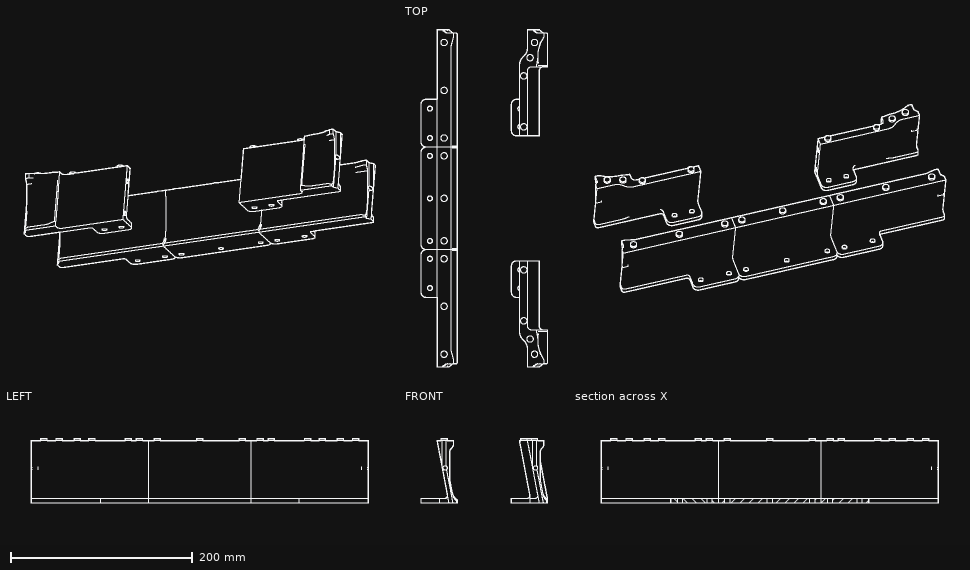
import cadquery as cq
import math

LENGTH = 372.5
ROW_SPACING = 100.0
BASE_WIDTH = 40.2
BASE_THICKNESS = 5.2
WALL_TOP = 69.0
PIN_HEIGHT = 2.2
PIN_DIAMETER = 7.0
SCREW_HOLE_DIAMETER = 5.2
DOWEL_HOLE_DIAMETER = 5.0
DOWEL_HOLE_DEPTH = 7.5

HALF_LENGTH = LENGTH / 2
JOINT_Y = 56.5
RAIL_INNER_Y = 69.0
TAB_OUTER_Y = 109.5

LEAN = 0.19
FRONT_TOP_X = 18.0
ROOT_FILLET = 3.0
STRIP_EDGE_X = 21.0
TAB_RADIUS = 6.0
STRIP_RADIUS = 3.0

LIP_X = 36.0
LIP_X_MID = 33.5
LIP_BOTTOM_Z = 63.5
NECK_X = 32.0
NECK_TOP_Z = 57.7
BACK_TOP_X = 24.0
HOLLOW_SHARE = 0.6
TOE_HEIGHT = 3.5
TOE_END_DROP = 2.0
TOE_CORNER = 1.0
TOE_RAMP_OUTER = 4.5
TOE_RAMP_JOINT = 1.0
LIP_FLARE_LENGTH = 9.5

BEVEL_WIDTH = 4.5
BEVEL_DEPTH = 3.55
BEVEL_START_X = 23.5
END_FACE_Y = HALF_LENGTH - BEVEL_DEPTH

JOG = 9.0
JOG_OUTER_Y = 166.5
JOG_INNER_Y = 146.8
SLAB_THICKNESS = 9.0
STEP_Y = 145.3
STEP_FILLET = 4.5
RIB_THICKNESS = 4.5
RIB_TOP_X = 28.0
RIB_TOE_HEIGHT = 5.5
RIB_CHAMFER = 1.5
RIB_END_SHARE = 0.8
RIB_FOOT_SHARE = 0.7
RIB_FILLET = 8.0
RAIL_LIP_X = 29.5
BLEND_STEPS = 3

PIN_X = 25.7
SCREW_X = 10.0
CENTRE_PIN_Y = [-47.0, 0.0, 47.0]
END_PIN_Y = [66.5, 119.2, 172.0]
END_SCREW_Y = [66.5, 99.0]
RAIL_PIN_PLACES = [(25.7, 172.0), (21.0, 155.5), (13.8, 135.2), (13.8, 79.0)]
RAIL_SCREW_Y = [79.0, 99.0]
RAIL_DOWEL_Z = [9.5, 50.5]
END_DOWEL_X = 27.0
END_DOWEL_Z = 38.7

CORE_INSET = 2.0
CORE_OVERLAP = 0.7
EDGE_REACH = 0.2
SKIRT = 3.7


def leaning_prism(outline, z_low, z_high, z_true=WALL_TOP):
    """Prism of a plan outline that leans with the walls; the outline is true at height z_true."""
    low = outline.val().moved(cq.Location(cq.Vector(LEAN * (z_true - z_low), 0, z_low)))
    high = outline.val().moved(cq.Location(cq.Vector(LEAN * (z_true - z_high), 0, z_high)))
    return cq.Workplane(obj=cq.Solid.makeLoft([low, high], True))


def front_x(z, top_x=FRONT_TOP_X):
    return top_x + LEAN * (WALL_TOP - z)


def wall_section(y, lip_x=LIP_X, toe_drop=0.0, front_top_x=FRONT_TOP_X, rib_share=0.0):
    """Closed cross-section in the plane Y = y; a rib_share of 1 turns the back into the rib's."""
    def place(x, z):
        return cq.Vector(x, y, z)

    def back(x, z):
        return place(x + rib_share * (front_x(z, RIB_TOP_X) - x), z)

    neck_x = min(NECK_X, lip_x)
    neck_bottom_z = WALL_TOP - (neck_x - BACK_TOP_X) / LEAN
    toe_z = TOE_HEIGHT - toe_drop + rib_share * (RIB_TOE_HEIGHT - TOE_HEIGHT)
    toe_edge = place(BASE_WIDTH, toe_z)

    plane_top_x = BACK_TOP_X + rib_share * (RIB_TOP_X - BACK_TOP_X)
    heel_z = (BASE_WIDTH + toe_z - front_x(0, plane_top_x)) / (1 - LEAN)
    heel = place(front_x(heel_z, plane_top_x), heel_z)
    down_toe = (toe_edge - heel).normalized()
    up_wall = cq.Vector(-LEAN, 0, 1).normalized()
    reach = (toe_edge - heel).Length * HOLLOW_SHARE
    half_angle = down_toe.getAngle(up_wall) / 2
    sag = reach / math.cos(half_angle) * (1 - math.sin(half_angle))
    hollow_start = heel + up_wall * reach
    hollow_end = heel + down_toe * reach
    hollow_middle = heel + (down_toe + up_wall).normalized() * sag

    base_front = place(front_x(0, front_top_x), 0)
    back_points = [
        base_front, place(front_x(WALL_TOP, front_top_x), WALL_TOP),
        back(lip_x, WALL_TOP), back(lip_x, LIP_BOTTOM_Z),
        back(neck_x, NECK_TOP_Z), back(neck_x, neck_bottom_z), hollow_start]
    toe_points = [hollow_end, toe_edge, place(BASE_WIDTH, 0), base_front]
    edges = [cq.Edge.makeLine(*pair) for pair in zip(back_points, back_points[1:])]
    edges.append(cq.Edge.makeThreePointArc(hollow_start, hollow_middle, hollow_end))
    edges += [cq.Edge.makeLine(*pair) for pair in zip(toe_points, toe_points[1:])]
    return cq.Wire.assembleEdges(edges)


def loft_chain(sections, ruled=True):
    """One solid through the sections, straight between each pair or smooth through all."""
    return cq.Workplane(obj=cq.Solid.makeLoft(sections, ruled))


def base_waste(y_low, y_high, tab_low, tab_high):
    """Plan areas in front of the base strip and outside the tab."""
    areas = []
    diagonal = math.sqrt(0.5)
    for tab_y, end_y, side in ((tab_low, y_low, -1), (tab_high, y_high, 1)):
        far_y = end_y + side * SKIRT
        tab_corner = (TAB_RADIUS * (1 - diagonal), tab_y - side * TAB_RADIUS * (1 - diagonal))
        area = (
            cq.Workplane().moveTo(-SKIRT, tab_y - side * TAB_RADIUS).lineTo(0, tab_y - side * TAB_RADIUS)
            .threePointArc(tab_corner, (TAB_RADIUS, tab_y))
        )
        if abs(end_y - tab_y) > TAB_RADIUS:
            inner_x = STRIP_EDGE_X - STRIP_RADIUS
            bend = STRIP_RADIUS * diagonal
            area = (
                area.lineTo(inner_x, tab_y)
                .threePointArc(
                    (inner_x + bend, tab_y + side * (STRIP_RADIUS - bend)),
                    (STRIP_EDGE_X, tab_y + side * STRIP_RADIUS),
                )
                .lineTo(STRIP_EDGE_X, end_y - side * STRIP_RADIUS)
                .threePointArc(
                    (STRIP_EDGE_X + STRIP_RADIUS - bend, end_y - side * (STRIP_RADIUS - bend)),
                    (STRIP_EDGE_X + STRIP_RADIUS, end_y),
                )
                .lineTo(STRIP_EDGE_X + STRIP_RADIUS, far_y)
            )
        else:
            area = area.lineTo(TAB_RADIUS, far_y)
        areas.append(area.lineTo(-SKIRT, far_y).close())
    return areas


def add_base(wall, y_low, y_high, tab_low, tab_high, screw_places, plate_depth=front_x(0)):
    """Join a wall to its base plate, fillet the root and trim the plate to strip and tab."""
    plate = cq.Workplane().box(
        plate_depth, y_high - y_low, BASE_THICKNESS, centered=False).translate((0, y_low, 0))
    body = wall.union(plate)
    root = cq.selectors.BoxSelector(
        (SKIRT, y_low - SKIRT, BASE_THICKNESS - EDGE_REACH),
        (front_x(BASE_THICKNESS) + EDGE_REACH, y_high + SKIRT, BASE_THICKNESS + EDGE_REACH))
    body = body.edges("#Z").edges(root).edges("not(<Y or >Y)").fillet(ROOT_FILLET)
    fillet_top = BASE_THICKNESS + 2 * ROOT_FILLET
    for area in base_waste(y_low, y_high, tab_low, tab_high):
        body = body.cut(area.extrude(BASE_THICKNESS))
        body = body.cut(leaning_prism(area, BASE_THICKNESS, fillet_top, BASE_THICKNESS))
    holes = (
        cq.Workplane().pushPoints(screw_places).circle(SCREW_HOLE_DIAMETER / 2).extrude(BASE_THICKNESS))
    return body.cut(holes)


def end_step():
    """Cutter for the bevelled step at the +Y outer end."""
    def plan(bevel_x):
        far_x = BASE_WIDTH + 2 * SKIRT
        far_y = HALF_LENGTH + SKIRT
        return cq.Workplane().polyline([
            (bevel_x, HALF_LENGTH), (bevel_x + BEVEL_WIDTH, END_FACE_Y), (far_x, END_FACE_Y),
            (far_x, far_y), (bevel_x, far_y)]).close()

    kink_z = WALL_TOP - (BEVEL_START_X - FRONT_TOP_X) / LEAN
    upper = plan(BEVEL_START_X).extrude(WALL_TOP - kink_z + SKIRT).translate((0, 0, kink_z))
    lower = leaning_prism(plan(FRONT_TOP_X), 0, kink_z)
    toe_corner = cq.Workplane().polyline([
        (BASE_WIDTH - TOE_CORNER, END_FACE_Y), (BASE_WIDTH, END_FACE_Y),
        (BASE_WIDTH, END_FACE_Y - TOE_CORNER)]).close().extrude(TOE_HEIGHT)
    dowel = dowel_hole(END_DOWEL_X, HALF_LENGTH, END_DOWEL_Z, -1)
    return upper.union(lower).union(toe_corner).union(dowel)


def dowel_hole(x, y, z, direction):
    return cq.Workplane(obj=cq.Solid.makeCylinder(
        DOWEL_HOLE_DIAMETER / 2, DOWEL_HOLE_DEPTH, cq.Vector(x, y, z), cq.Vector(0, direction, 0)))


def top_pins(places):
    return (
        cq.Workplane().workplane(offset=WALL_TOP).pushPoints(places)
        .circle(PIN_DIAMETER / 2).extrude(PIN_HEIGHT))


def centre_section():
    sections = [
        wall_section(-JOINT_Y, LIP_X_MID, TOE_END_DROP),
        wall_section(TOE_RAMP_JOINT - JOINT_Y, LIP_X_MID),
        wall_section(JOINT_Y - TOE_RAMP_JOINT, LIP_X_MID),
        wall_section(JOINT_Y, LIP_X_MID, TOE_END_DROP),
    ]
    screws = [(SCREW_X, y) for y in CENTRE_PIN_Y]
    body = add_base(loft_chain(sections), -JOINT_Y, JOINT_Y, -JOINT_Y, JOINT_Y, screws)
    return body.union(top_pins([(PIN_X, y) for y in CENTRE_PIN_Y]))


def end_section():
    ramp_y = END_FACE_Y - TOE_RAMP_OUTER
    sections = [
        wall_section(JOINT_Y, LIP_X_MID, TOE_END_DROP),
        wall_section(JOINT_Y + TOE_RAMP_JOINT, LIP_X_MID),
        wall_section(ramp_y - LIP_FLARE_LENGTH, LIP_X_MID),
        wall_section(ramp_y),
        wall_section(END_FACE_Y, toe_drop=TOE_END_DROP),
        wall_section(HALF_LENGTH, toe_drop=TOE_END_DROP),
    ]
    screws = [(SCREW_X, y) for y in END_SCREW_Y]
    body = add_base(loft_chain(sections), JOINT_Y, HALF_LENGTH, JOINT_Y, TAB_OUTER_Y, screws)
    return body.cut(end_step()).union(top_pins([(PIN_X, y) for y in END_PIN_Y]))


def rail_front():
    """Leaning part of the rail: inner slab, S-shaped jog and the front of the outer block."""
    mid_x = FRONT_TOP_X - JOG / 2
    mid_y = (JOG_OUTER_Y + JOG_INNER_Y) / 2
    slab_front = FRONT_TOP_X - JOG
    slab_back = slab_front + SLAB_THICKNESS
    core_x = slab_back + STEP_FILLET + CORE_OVERLAP
    bend = STEP_FILLET * math.sqrt(0.5)
    plan = (
        cq.Workplane().moveTo(slab_front, RAIL_INNER_Y).lineTo(slab_front, JOG_INNER_Y)
        .tangentArcPoint((mid_x, mid_y), relative=False)
        .tangentArcPoint((FRONT_TOP_X, JOG_OUTER_Y), relative=False)
        .lineTo(FRONT_TOP_X, HALF_LENGTH).lineTo(core_x, HALF_LENGTH).lineTo(core_x, STEP_Y)
        .lineTo(slab_back + STEP_FILLET, STEP_Y)
        .threePointArc(
            (slab_back + STEP_FILLET - bend, STEP_Y - STEP_FILLET + bend), (slab_back, STEP_Y - STEP_FILLET))
        .lineTo(slab_back, RAIL_INNER_Y).close()
    )
    return leaning_prism(plan, 0, WALL_TOP)


def rail_back():
    """Outer block behind the front part: rib, hollow beside it, and a lip that widens to the end."""
    core_x = FRONT_TOP_X + CORE_INSET
    rib_y = STEP_Y + RIB_THICKNESS
    hollow_y = rib_y + RIB_FILLET
    ramp_y = END_FACE_Y - TOE_RAMP_OUTER

    def rib_section(y, rib_share):
        return wall_section(y, RAIL_LIP_X, front_top_x=core_x, rib_share=rib_share)

    rib = [
        rib_section(STEP_Y, RIB_END_SHARE), rib_section(STEP_Y + RIB_CHAMFER, 1),
        rib_section(rib_y, RIB_FOOT_SHARE)]
    hollow = []
    lip = []
    for step in range(BLEND_STEPS + 1):
        progress = step / BLEND_STEPS
        hollow.append(rib_section(rib_y + progress * RIB_FILLET, RIB_FOOT_SHARE * (1 - progress) ** 2))
        lip_x = RAIL_LIP_X + progress ** 2 * (LIP_X - RAIL_LIP_X)
        lip.append(wall_section(hollow_y + progress * (ramp_y - hollow_y), lip_x, front_top_x=core_x))
    end = [lip[-1]] + [
        wall_section(y, toe_drop=TOE_END_DROP, front_top_x=core_x) for y in (END_FACE_Y, HALF_LENGTH)]
    return (
        loft_chain(rib).union(loft_chain(hollow, ruled=False))
        .union(loft_chain(lip, ruled=False)).union(loft_chain(end)))


def short_rail():
    slab_middle_x = front_x(0, FRONT_TOP_X - JOG + SLAB_THICKNESS / 2)
    foot = cq.Workplane().box(
        NECK_X - slab_middle_x, HALF_LENGTH - STEP_Y, BASE_THICKNESS, centered=False)
    wall = rail_front().union(rail_back()).union(foot.translate((slab_middle_x, STEP_Y, 0)))
    screws = [(SCREW_X, y) for y in RAIL_SCREW_Y]
    body = add_base(wall, RAIL_INNER_Y, HALF_LENGTH, RAIL_INNER_Y, TAB_OUTER_Y, screws, slab_middle_x)
    body = body.cut(end_step())
    for z in RAIL_DOWEL_Z:
        dowel_x = front_x(z, FRONT_TOP_X - JOG + SLAB_THICKNESS / 2)
        body = body.cut(dowel_hole(dowel_x, RAIL_INNER_Y, z, 1))
    return body.union(top_pins(RAIL_PIN_PLACES)).translate((ROW_SPACING, 0, 0))


bodies = [centre_section().solids().val()]
for make_body in (end_section, short_rail):
    body = make_body()
    bodies += [body.solids().val(), body.mirror("XZ").solids().val()]

result = cq.Compound.makeCompound(bodies)